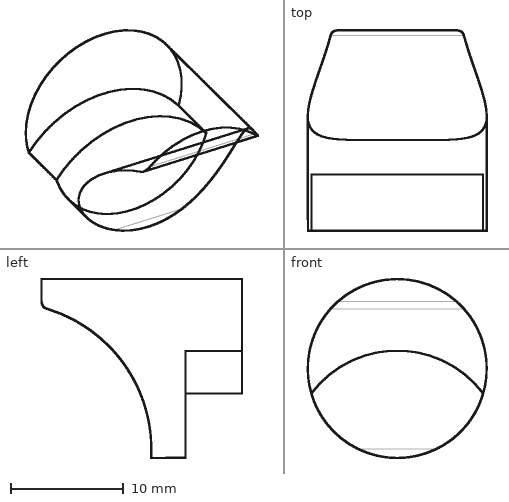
import cadquery as cq

diameter = 15.88
length = 17.78
recess_depth = 5.0
recess_radius = 9.53
foot_thickness = 3.05
scoop_radius = 12.98
foot_straight_height = 0.8
lip_fillet_radius = 0.65
clearance = 0.89

radius = diameter / 2
front_y = -length / 2
foot_rear_y = front_y + recess_depth + foot_thickness
scoop_center_y = foot_rear_y + scoop_radius
scoop_center_z = -radius + foot_straight_height
blank_half_size = radius + clearance


def cylinder_along_y(cylinder_radius, center_z, depth):
    """Solid cylinder running toward +Y from the front face."""
    plane = cq.Plane(origin=(0, front_y, center_z), xDir=(1, 0, 0), normal=(0, 1, 0))
    return cq.Workplane(plane).circle(cylinder_radius).extrude(depth)


def scoop():
    """Quarter-round cutter across X, continued straight down behind the foot."""
    bottom_z = -blank_half_size - clearance
    return (
        cq.Workplane("YZ")
        .moveTo(scoop_center_y, bottom_z)
        .lineTo(foot_rear_y, bottom_z)
        .lineTo(foot_rear_y, scoop_center_z)
        .radiusArc((scoop_center_y, scoop_center_z + scoop_radius), scoop_radius)
        .close()
        .extrude(blank_half_size + clearance, both=True)
    )


def side_blank():
    """Oversized block with the scoop cut and its lip rounded."""
    block = cq.Workplane("XY").box(2 * blank_half_size, length, 2 * blank_half_size)
    scooped = block.cut(scoop())
    return scooped.faces(">Y").edges("|X and <Z").fillet(lip_fillet_radius)


body = cylinder_along_y(radius, 0, length).intersect(side_blank())
recess = cylinder_along_y(recess_radius, -radius, recess_depth)
result = body.cut(recess)